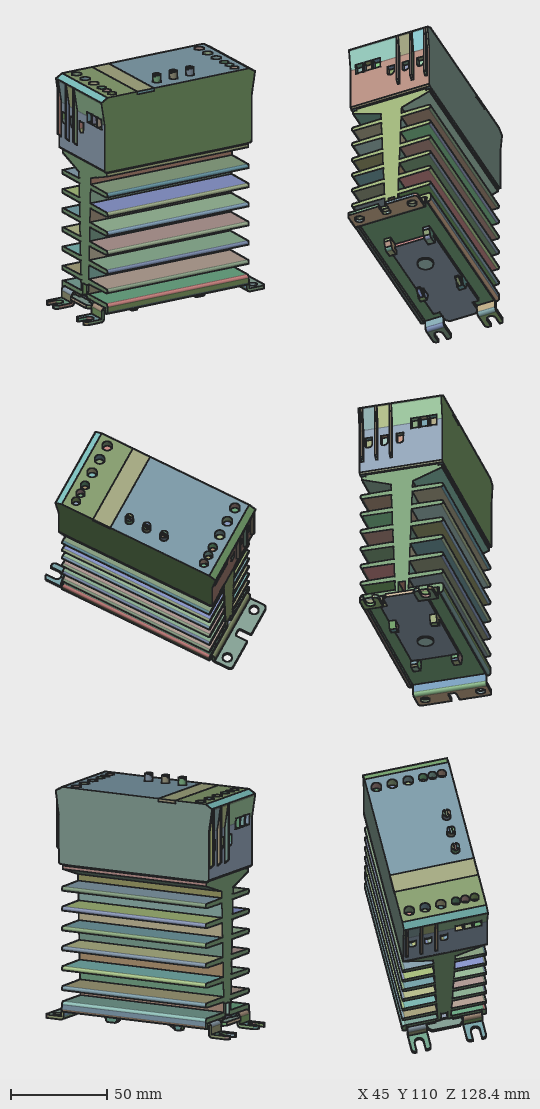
import cadquery as cq
width = 45.0
total_height = 128.4
total_length = 110.0

housing_length = 94.0
housing_bottom = 83.3
housing_top = 124.5
end_recess = 1.9
top_chamfer_length = 3.7
lip_top = 122.4
lip_bottom = 121.7
slope_bottom = 109.7
bottom_chamfer = 0.9
end_wall = housing_length / 2 - end_recess

rib_width = 1.2
rib_first_x = -20.8
rib_pitch = 7.8
rib_count = 3
rib_bottom = 90.4

terminal_y = 37.5
terminal_depth = 6.4
window_depth = 2.6
power_first_x = -17.5
power_pitch = 8.5
power_hole_diameter = 5.3
power_window_width = 3.9
power_window_radius = 1.8
power_window_bottom = 98.6
power_window_top = 104.5
control_first_x = 7.5
control_pitch = 5.0
control_hole_diameter = 4.5
control_window_width = 4.1
control_window_bottom = 106.3
control_window_top = 112.1
terminals_per_row = 3

strip_center_y = -19.9
strip_length = 10.1
strip_thickness = 1.5

knob_x = 14.1
knob_first_y = 12.3
knob_pitch = 10.1
knob_count = 3
knob_diameter = 4.1
knob_socket_diameter = 4.5
knob_socket_depth = 2.6
knob_slot_width = 1.3
knob_slot_depth = 0.9

sink_length = 86.5
sink_base_bottom = 4.6
sink_base_top = 10.4
sink_base_radius = 1.5
channel_top = 7.7
channel_half_width = 20.3
stem_top = 75.1
stem_half_width_top = 5.9
stem_half_width_bottom = 3.6
flange_half_width = 21.8
flange_bottom = 80.8
flange_top = 82.5
neck_half_width = 19.8
fin_first_z = 17.3
fin_last_z = 70.2
fin_count = 6
fin_pitch = (fin_last_z - fin_first_z) / (fin_count - 1)
fin_root_thickness = 3.0
fin_tip_thickness = 2.5
key_slot_half_width = 1.8
key_slot_top = 14.8
key_slot_flare = 0.6

bracket_width = 39.8
plate_bottom = 6.3
foot_thickness = 1.8
upright_inner_y = 43.7
upright_outer_y = 45.2
bend_radius = upright_outer_y - sink_length / 2
foot_width = 10.3
foot_hole_x = 15.0
foot_hole_diameter = 4.9
foot_hole_edge_distance = 5.0
foot_corner_radius = 1.8
rear_notch_width = 4.4
rear_notch_depth = 7.2
rear_notch_radius = 1.2
front_notch_width = 9.2
front_notch_depth = 1.0

hook_width = 3.6
hook_inner_x = 9.2
hook_x = hook_inner_x + hook_width / 2
lip_height = 3.3

fixed_hook_outer_y = 23.8
fixed_hook_heel_y = 22.5
fixed_hook_heel_radius = 1.5
fixed_hook_inner_y = 17.8
fixed_hook_tip_y = 15.9
fixed_hook_chamfer = 1.0

latch_bottom = 4.4
latch_tab_width = 18.7
latch_tab_y = -47.1
latch_tab_chamfer = 1.9
latch_plate_width = 2 * (hook_inner_x + hook_width)
latch_plate_y = -38.5
button_diameter = 8.3
shank_front_y = -23.8
shank_rear_y = -17.6
shank_foot_front_y = -22.3
shank_foot_rear_y = -19.3
moving_lip_width = 2.0
moving_lip_root_y = -18.7
moving_lip_tip_y = -14.9
moving_lip_tip_bottom = 2.5


def box(x_size, y_size, z_bottom, z_top, x=0.0, y=0.0):
    """Box centred on x, y that spans z_bottom to z_top."""
    block = cq.Workplane("XY").box(x_size, y_size, z_top - z_bottom)
    return block.translate((x, y, (z_bottom + z_top) / 2))


def upright_cylinder(diameter, z_bottom, z_top, x=0.0, y=0.0):
    """Cylinder centred on x, y that spans z_bottom to z_top."""
    return cq.Workplane("XY").circle(diameter / 2).extrude(z_top - z_bottom).translate((x, y, z_bottom))


def along_x(profile, x_size, x=0.0):
    """Extrude a closed YZ profile by x_size, centred on x."""
    return profile.extrude(x_size / 2, both=True).translate((x, 0, 0))


def both_ends(feature):
    """The feature at the front end together with its mirror image at the rear end."""
    return feature.union(feature.mirror("XZ"))


def strip_block():
    return box(width, strip_length, housing_top - strip_thickness, housing_top, y=strip_center_y)


def knob_positions():
    return [(knob_x, knob_first_y - i * knob_pitch) for i in range(knob_count)]


def housing_shell():
    half = housing_length / 2
    side = [
        (end_wall - bottom_chamfer, housing_bottom),
        (end_wall, housing_bottom + bottom_chamfer),
        (end_wall, slope_bottom),
        (half, lip_bottom),
        (half, lip_top),
        (half - top_chamfer_length, housing_top),
    ]
    mirrored = [(-y, z) for y, z in reversed(side)]
    return along_x(cq.Workplane("YZ").polyline(side + mirrored).close(), width)


def housing_rib(x):
    half = housing_length / 2
    profile = cq.Workplane("YZ").polyline([
        (-end_wall, rib_bottom),
        (-half, rib_bottom + end_recess),
        (-half, lip_bottom),
        (-end_wall, lip_bottom),
    ]).close()
    return along_x(profile, rib_width, x)


def terminal_hole(x, diameter):
    return upright_cylinder(diameter, housing_top - terminal_depth, housing_top, x, -terminal_y)


def window(x, window_width, bottom, top):
    """Rectangular recess in the front end wall, open to the outside."""
    y_size = window_depth + end_recess
    return box(window_width, y_size, bottom, top, x, -end_wall + window_depth - y_size / 2)


def power_window(x):
    block = window(x, power_window_width, power_window_bottom, power_window_top)
    return block.edges("|Y and <Z").fillet(power_window_radius)


def make_housing():
    body = housing_shell()
    for i in range(rib_count):
        body = body.union(both_ends(housing_rib(rib_first_x + i * rib_pitch)))
    for i in range(terminals_per_row):
        power_x = power_first_x + i * power_pitch
        control_x = control_first_x + i * control_pitch
        body = body.cut(both_ends(terminal_hole(power_x, power_hole_diameter)))
        body = body.cut(both_ends(power_window(power_x)))
        body = body.cut(both_ends(terminal_hole(control_x, control_hole_diameter)))
        control_window = window(control_x, control_window_width, control_window_bottom, control_window_top)
        body = body.cut(both_ends(control_window))
    for x, y in knob_positions():
        body = body.cut(knob_socket(x, y))
    return body.cut(strip_block())


def knob_socket(x, y):
    return upright_cylinder(knob_socket_diameter, housing_top - knob_socket_depth, housing_top, x, y)


def make_knob(x, y):
    shaft = upright_cylinder(knob_diameter, housing_top - knob_socket_depth, total_height, x, y)
    slot = box(knob_slot_width, knob_diameter, total_height - knob_slot_depth, total_height, x, y)
    return shaft.cut(slot)


def along_y(profile):
    """Extrude a closed XZ profile over the length of the heat sink."""
    return profile.extrude(sink_length / 2, both=True)


def mirrored_outline(right_side):
    """Closed XZ outline from its right half, listed from bottom to top."""
    left_side = [(-x, z) for x, z in reversed(right_side)]
    return cq.Workplane("XZ").polyline(right_side + left_side).close()


def sink_stem():
    return along_y(mirrored_outline([
        (stem_half_width_bottom, sink_base_top),
        (stem_half_width_top, stem_top),
        (flange_half_width, flange_bottom),
        (flange_half_width, flange_top),
        (neck_half_width, flange_top),
        (neck_half_width, housing_bottom),
    ]))


def sink_fin(z):
    tip = fin_tip_thickness / 2
    root = fin_root_thickness / 2
    shoulder = width / 2 - tip
    profile = (
        cq.Workplane("XZ")
        .moveTo(-shoulder, z - tip)
        .lineTo(0, z - root)
        .lineTo(shoulder, z - tip)
        .threePointArc((width / 2, z), (shoulder, z + tip))
        .lineTo(0, z + root)
        .lineTo(-shoulder, z + tip)
        .threePointArc((-width / 2, z), (-shoulder, z - tip))
        .close()
    )
    return along_y(profile)


def sink_base():
    base = box(width, sink_length, sink_base_bottom, sink_base_top).edges("|Y").fillet(sink_base_radius)
    return base.cut(box(2 * channel_half_width, sink_length, sink_base_bottom, channel_top))


def sink_key_slot():
    return along_y(mirrored_outline([
        (key_slot_half_width + key_slot_flare, channel_top),
        (key_slot_half_width, channel_top + key_slot_flare),
        (key_slot_half_width, key_slot_top),
    ]))


def make_heat_sink():
    body = sink_stem().union(sink_base())
    for i in range(fin_count):
        body = body.union(sink_fin(fin_first_z + i * fin_pitch))
    return body.cut(sink_key_slot())


def bent_leg(x_size, x=0.0):
    """Front leg of the bracket: plate end, upright and foot, bent from one sheet."""
    tip = -total_length / 2
    inner_plate_end = -upright_inner_y + bend_radius
    profile = (
        cq.Workplane("YZ")
        .moveTo(inner_plate_end, channel_top)
        .lineTo(-upright_outer_y + bend_radius, channel_top)
        .radiusArc((-upright_outer_y, channel_top - bend_radius), -bend_radius)
        .lineTo(-upright_outer_y, foot_thickness)
        .lineTo(tip, foot_thickness)
        .lineTo(tip, 0)
        .lineTo(-upright_inner_y, 0)
        .lineTo(-upright_inner_y, plate_bottom)
        .lineTo(inner_plate_end, plate_bottom)
        .close()
    )
    leg = along_x(profile, x_size, x)
    leg = leg.edges("|X").edges("<Z").edges(">Y").fillet(bend_radius)
    return leg.edges("|Z").edges("<Y").fillet(foot_corner_radius)


def front_foot(side):
    foot_x = side * (bracket_width - foot_width) / 2
    hole_y = -total_length / 2 + foot_hole_edge_distance
    slot_x = side * foot_hole_x
    slot_end = upright_cylinder(foot_hole_diameter, 0, foot_thickness, slot_x, hole_y)
    slot = box(foot_hole_diameter, foot_hole_edge_distance, 0, foot_thickness,
               slot_x, hole_y - foot_hole_edge_distance / 2)
    return bent_leg(foot_width, foot_x).cut(slot_end).cut(slot)


def rear_ear():
    edge = total_length / 2
    ear = bent_leg(bracket_width).mirror("XZ")
    for x in (-foot_hole_x, foot_hole_x):
        ear = ear.cut(upright_cylinder(foot_hole_diameter, 0, foot_thickness, x, edge - foot_hole_edge_distance))
    notch = box(rear_notch_width, rear_notch_depth, 0, foot_thickness, y=edge - rear_notch_depth / 2)
    return ear.cut(notch.edges("|Z and <Y").fillet(rear_notch_radius))


def fixed_hook(side):
    profile = (
        cq.Workplane("YZ")
        .moveTo(fixed_hook_outer_y, plate_bottom)
        .lineTo(fixed_hook_outer_y, latch_bottom)
        .lineTo(fixed_hook_heel_y, fixed_hook_heel_radius)
        .radiusArc((fixed_hook_heel_y - fixed_hook_heel_radius, 0), fixed_hook_heel_radius)
        .lineTo(fixed_hook_tip_y + fixed_hook_chamfer, 0)
        .lineTo(fixed_hook_tip_y, fixed_hook_chamfer)
        .lineTo(fixed_hook_tip_y, lip_height)
        .lineTo(fixed_hook_inner_y, lip_height)
        .lineTo(fixed_hook_inner_y, plate_bottom)
        .close()
    )
    return along_x(profile, hook_width, side * hook_x)


def make_bracket():
    body = box(bracket_width, sink_length, plate_bottom, channel_top)
    notch_y = -sink_length / 2 + front_notch_depth / 2
    body = body.cut(box(front_notch_width, front_notch_depth, plate_bottom, channel_top, y=notch_y))
    for side in (-1, 1):
        body = body.union(front_foot(side)).union(fixed_hook(side))
    return body.union(rear_ear())


def moving_hook(side):
    """Tapered shank under the latch plate, with a narrower lip that points to the rear."""
    shank = cq.Workplane("YZ").polyline([
        (shank_front_y, latch_bottom),
        (shank_foot_front_y, 0),
        (shank_foot_rear_y, 0),
        (shank_rear_y, latch_bottom),
    ]).close()
    lip = cq.Workplane("YZ").polyline([
        (shank_foot_rear_y, 0),
        (moving_lip_tip_y, moving_lip_tip_bottom),
        (moving_lip_tip_y, lip_height),
        (moving_lip_root_y, lip_height),
    ]).close()
    x = side * hook_x
    return along_x(shank, hook_width, x).union(along_x(lip, moving_lip_width, x))


def latch_strip(x_size, front_y):
    """Flat part of the latch from front_y back to the fixed hooks."""
    length = fixed_hook_inner_y - front_y
    return box(x_size, length, latch_bottom, plate_bottom, y=front_y + length / 2)


def make_latch():
    tab = latch_strip(latch_tab_width, latch_tab_y).edges("|Z and <Y").chamfer(latch_tab_chamfer)
    body = tab.union(latch_strip(latch_plate_width, latch_plate_y))
    for side in (-1, 1):
        body = body.union(moving_hook(side))
    return body.union(upright_cylinder(button_diameter, lip_height, plate_bottom))


housing = make_housing()
cover_strip = strip_block()
knobs = [make_knob(x, y) for x, y in knob_positions()]
heat_sink = make_heat_sink()
bracket = make_bracket()
latch = make_latch()

result = cq.Compound.makeCompound([
    housing.val(),
    cover_strip.val(),
    *[knob.val() for knob in knobs],
    heat_sink.val(),
    bracket.val(),
    latch.val(),
])